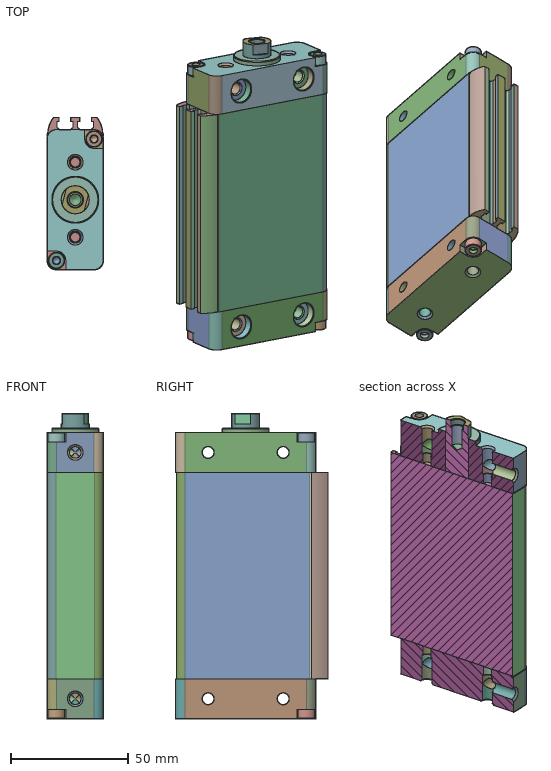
import cadquery as cq
import math


total_height = 130.0
width = 24.0
total_length = 65.0
cap_length = 59.8
cap_height = 17.0
rod_projection = 8.0
corner_radius = 4.0
cap_top = total_height - rod_projection
barrel_height = cap_top - 2 * cap_height
half_width = width / 2
half_length = cap_length / 2

barrel_inset = 0.4
side_inset = 0.1
barrel_corner_radius = corner_radius - barrel_inset
barrel_front = -half_length + barrel_inset
slot_floor = half_length
half_barrel_width = half_width - side_inset
rail_tip = total_length - half_length
rail_base = 28.0
flank_step = 0.3
ledge_slope_length = 0.6
flank_radius = 12.0
rail_tip_half_width = 9.2
lip_half_gap = 6.9
slot_outer_wall = 7.7
web_half_width = 1.0
head_half_width = 2.0
lip_height = 1.8
slot_chamfer = 0.9

hole_pitch = 32.0
hole_level = cap_height / 2
hole_diameter = 5.0
hole_mouth_diameter = 6.6
mount_depth = 12.7
mount_tip_diameter = 4.0
counterbore_diameter = 10.0
counterbore_mouth_diameter = 10.7
counterbore_depth = 4.0
cross_mouth_diameter = 6.0

notch_depth = 4.0
notch_diameter = 7.9
screw_diameter = 7.0
screw_chamfer = 0.3
socket_diameter = 3.5
socket_depth = 2.0
socket_tip_diameter = 3.0
screw_x = half_width - corner_radius
screw_y = half_length - corner_radius

collar_diameter = 20.0
collar_height = 2.0
collar_chamfer = 0.4
rod_diameter = 12.0
flat_size = 9.8
flat_length = 4.4
flat_angle = 15.0
rod_hole_diameter = 6.4
rod_hole_mouth_diameter = 7.0
rod_hole_depth = 2.7
rod_drill_diameter = 5.0
rod_drill_depth = 11.7

drill_tip_angle = 118.0


def drill(diameter, depth, mouth_diameter, tip_angle=None):
    """Cutter going down from the origin, with a 45 degree mouth and a flat or conical bottom."""
    radius = diameter / 2
    mouth_radius = mouth_diameter / 2
    points = [(0, 0), (mouth_radius, 0)]
    if mouth_radius > radius:
        points.append((radius, radius - mouth_radius))
    points.append((radius, -depth))
    tip = radius / math.tan(math.radians(tip_angle / 2)) if tip_angle else 0
    points.append((0, -depth - tip))
    return cq.Workplane("XZ").polyline(points).close().revolve(360, (0, 0, 0), (0, 1, 0))


def into_side(cutter):
    """Turn a downward cutter to go along +X from the -X face."""
    return cutter.rotate((0, 0, 0), (0, 1, 0), -90).translate((-half_width, 0, hole_level))


def screw_notch():
    """Cutter for the corner notch, with its inner corner rounded about the screw."""
    radius = notch_diameter / 2
    inner_x = screw_x - radius
    inner_y = screw_y - radius
    return (
        cq.Workplane("XY", origin=(0, 0, cap_height - notch_depth))
        .moveTo(inner_x, half_length)
        .lineTo(inner_x, screw_y)
        .radiusArc((screw_x, inner_y), -radius)
        .lineTo(half_width, inner_y)
        .lineTo(half_width, half_length)
        .close()
        .extrude(notch_depth)
    )


def screw_head():
    """Socket head standing in the corner notch, flush with the cap."""
    head = (
        cq.Workplane("XY", origin=(screw_x, screw_y, cap_height - notch_depth))
        .circle(screw_diameter / 2)
        .extrude(notch_depth)
        .faces(">Z")
        .chamfer(screw_chamfer)
    )
    socket = drill(socket_diameter, socket_depth, socket_diameter)
    socket_tip = drill(socket_tip_diameter, socket_depth, socket_tip_diameter, drill_tip_angle)
    return head.cut(socket.union(socket_tip).translate((screw_x, screw_y, cap_height)))


def end_cap():
    """Cap with its inner face on Z = 0 and its outer face up."""
    cap = cq.Workplane("XY").rect(width, cap_length).extrude(cap_height)
    cap = cap.edges("|Z").fillet(corner_radius)

    end_hole = drill(hole_diameter, mount_depth, hole_mouth_diameter)
    end_hole = end_hole.translate((0, 0, cap_height))
    end_tip = cq.Workplane("XY").circle(mount_tip_diameter / 2).extrude(cap_height)
    counterbore = into_side(drill(counterbore_diameter, counterbore_depth, counterbore_mouth_diameter))
    cross_hole = into_side(drill(hole_diameter, width - counterbore_depth, cross_mouth_diameter))
    cross_hole = cross_hole.translate((counterbore_depth, 0, 0))
    for y in (-hole_pitch / 2, hole_pitch / 2):
        for cutter in (end_hole, end_tip, counterbore, cross_hole):
            cap = cap.cut(cutter.translate((0, y, 0)))

    port = drill(hole_diameter, half_length - hole_pitch / 2, hole_mouth_diameter)
    port = port.rotate((0, 0, 0), (1, 0, 0), 90)
    cap = cap.cut(port.translate((0, -half_length, hole_level)))

    for turn in (0, 180):
        cap = cap.cut(screw_notch().rotate((0, 0, 0), (0, 0, 1), turn))
        cap = cap.union(screw_head().rotate((0, 0, 0), (0, 0, 1), turn))
    return cap


def make_lower_cap():
    return end_cap().mirror("XY").translate((0, 0, cap_height))


def make_upper_cap():
    collar = (
        cq.Workplane("XY", origin=(0, 0, cap_height))
        .circle(collar_diameter / 2)
        .extrude(collar_height)
        .faces(">Z")
        .chamfer(collar_chamfer)
    )
    bore = cq.Workplane("XY").circle(rod_diameter / 2).extrude(cap_height + collar_height)
    return end_cap().union(collar).cut(bore).translate((0, 0, cap_top - cap_height))


def make_barrel():
    """Extruded profile with two curved outer rails and a T-shaped middle rail on its +Y end."""
    block = (
        cq.Workplane("XY")
        .moveTo(-half_barrel_width, barrel_front)
        .lineTo(half_barrel_width, barrel_front)
        .lineTo(half_barrel_width, rail_base - ledge_slope_length)
        .lineTo(half_width, rail_base)
        .lineTo(half_width - flank_step, rail_base)
        .radiusArc((rail_tip_half_width, rail_tip), -flank_radius)
        .lineTo(-rail_tip_half_width, rail_tip)
        .radiusArc((-half_width + flank_step, rail_base), -flank_radius)
        .lineTo(-half_width, rail_base)
        .lineTo(-half_barrel_width, rail_base - ledge_slope_length)
        .close()
        .extrude(barrel_height)
        .edges("|Z and <Y")
        .fillet(barrel_corner_radius)
    )

    lip_bottom = rail_tip - lip_height
    slot = (
        cq.Workplane("XY")
        .moveTo(web_half_width + slot_chamfer, slot_floor)
        .lineTo(slot_outer_wall - slot_chamfer, slot_floor)
        .lineTo(slot_outer_wall, slot_floor + slot_chamfer)
        .lineTo(slot_outer_wall, lip_bottom)
        .lineTo(lip_half_gap, lip_bottom)
        .lineTo(lip_half_gap, rail_tip)
        .lineTo(head_half_width, rail_tip)
        .lineTo(head_half_width, lip_bottom)
        .lineTo(web_half_width, lip_bottom)
        .lineTo(web_half_width, slot_floor + slot_chamfer)
        .close()
        .extrude(barrel_height)
    )
    block = block.cut(slot).cut(slot.mirror("YZ"))
    return block.translate((0, 0, cap_height))


def make_rod():
    """Piston rod through the top cap, with two wrench flats and a threaded hole in its end."""
    rod_bottom = cap_top - cap_height
    rod = (
        cq.Workplane("XY", origin=(0, 0, rod_bottom))
        .circle(rod_diameter / 2)
        .extrude(total_height - rod_bottom)
    )
    flats = (
        cq.Workplane("XY", origin=(0, 0, total_height - flat_length))
        .rect(2 * rod_diameter, 2 * rod_diameter)
        .rect(flat_size, 2 * rod_diameter)
        .extrude(flat_length)
        .rotate((0, 0, 0), (0, 0, 1), -flat_angle)
    )
    mouth = drill(rod_hole_diameter, rod_hole_depth, rod_hole_mouth_diameter)
    bore = drill(rod_drill_diameter, rod_drill_depth, rod_drill_diameter, drill_tip_angle)
    return rod.cut(flats).cut(mouth.union(bore).translate((0, 0, total_height)))


barrel = make_barrel()
lower_cap = make_lower_cap()
upper_cap = make_upper_cap()
rod = make_rod()

result = cq.Compound.makeCompound([barrel.val(), lower_cap.val(), upper_cap.val(), rod.val()])